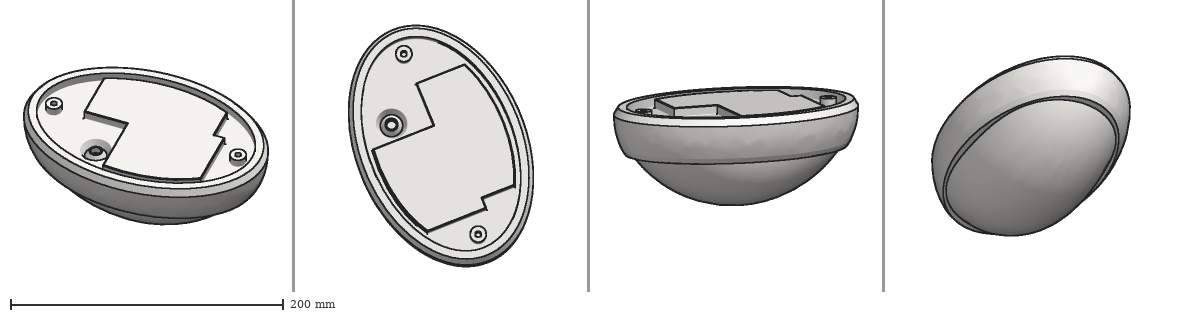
import cadquery as cq

half_length = 93.5
half_width = 62.8
total_height = 76.0

rim_inset = 3.4
widest_depth = 5.5
bulge_depth = 18.0
bulge_inset = 1.3
lower_depth = 30.5
lower_inset = 5.6
base_depth = 34.8
base_inset = 8.5

dome_half_length = 79.7
dome_half_width = 49.4
dome_height = total_height - base_depth

recess_inset = 9.5
recess_depth = 7.5
floor_rounding = 0.5
floor_z = -recess_depth

plate_inset = 14.0
plate_height = 7.0
plate_chamfer = 0.5
plate_left = -49.0
plate_right = 57.2
plate_lower_left = -15.0
plate_left_step_y = 0.0
plate_upper_right = 49.0
plate_right_step_y = 12.9

boss_spacing = 145.9
boss_diameter = 12.0
boss_height = 6.5
boss_hole_diameter = 4.5
boss_hole_depth = 5.6

dish_x = -28.6
dish_y = -27.7
dish_diameter = 23.2
dish_depth = 6.0
nozzle_base_diameter = 16.5
nozzle_top_diameter = 9.3
nozzle_height = 4.7
nozzle_hole_diameter = 7.5
nozzle_hole_depth = 5.6


def oval_section(depth, inset):
    """Elliptical wire at a depth below the rim."""
    plane = cq.Workplane("XY", origin=(0, 0, -depth))
    return plane.ellipse(half_length - inset, half_width - inset).wires().val()


def oval_loft(sections, ruled):
    wires = [oval_section(depth, inset) for depth, inset in sections]
    return cq.Workplane(cq.Solid.makeLoft(wires, ruled))


def oval_prism(inset, bottom_z, height):
    plane = cq.Workplane("XY", origin=(0, 0, bottom_z))
    return plane.ellipse(half_length - inset, half_width - inset).extrude(height)


def round_taper(x, y, bottom_z, height, bottom_diameter, top_diameter):
    cone = cq.Solid.makeCone(bottom_diameter / 2, top_diameter / 2, height, cq.Vector(x, y, bottom_z))
    return cq.Workplane(cone)


def round_pin(x, y, top_z, depth, diameter):
    """Cylinder hanging down from its top, used for bosses and for cutting holes."""
    return cq.Workplane("XY", origin=(x, y, top_z)).circle(diameter / 2).extrude(-depth)


def make_housing():
    rim = oval_loft([(0, rim_inset), (widest_depth, 0)], True)
    wall = oval_loft([(widest_depth, 0), (bulge_depth, bulge_inset), (lower_depth, lower_inset)], False)
    base = oval_loft([(lower_depth, lower_inset), (base_depth, base_inset)], True)
    return rim.union(wall).union(base)


def make_dome():
    """Short profile arc revolved about a Y-parallel axis, so the long profile is an arc too."""
    long_radius = (dome_half_length**2 + dome_height**2) / (2 * dome_height)
    axis_z = long_radius - total_height
    disc = (
        cq.Workplane("YZ")
        .moveTo(-dome_half_width, axis_z)
        .lineTo(-dome_half_width, -base_depth)
        .threePointArc((0, -total_height), (dome_half_width, -base_depth))
        .lineTo(dome_half_width, axis_z)
        .close()
        .revolve(360, (0, axis_z), (1, axis_z))
    )
    below_housing = cq.Workplane("XY", origin=(0, 0, -base_depth))
    below_housing = below_housing.rect(2 * half_length, 2 * half_width).extrude(-dome_height)
    return disc.intersect(below_housing)


def make_plate():
    outline = [
        (plate_left, half_width),
        (plate_upper_right, half_width),
        (plate_upper_right, plate_right_step_y),
        (plate_right, plate_right_step_y),
        (plate_right, -half_width),
        (plate_lower_left, -half_width),
        (plate_lower_left, plate_left_step_y),
        (plate_left, plate_left_step_y),
    ]
    stepped = cq.Workplane("XY", origin=(0, 0, floor_z)).polyline(outline).close().extrude(plate_height)
    plate = stepped.intersect(oval_prism(plate_inset, floor_z, plate_height))
    return plate.faces(">Z").chamfer(plate_chamfer)


def add_boss(body, x):
    boss = round_pin(x, 0, floor_z + boss_height, boss_height, boss_diameter)
    hole = round_pin(x, 0, floor_z + boss_height, boss_hole_depth, boss_hole_diameter)
    return body.union(boss).cut(hole)


def add_dish(body):
    bottom_z = floor_z - dish_depth
    dish = round_taper(dish_x, dish_y, bottom_z, dish_depth, nozzle_base_diameter, dish_diameter)
    nozzle = round_taper(dish_x, dish_y, bottom_z, nozzle_height, nozzle_base_diameter, nozzle_top_diameter)
    hole = round_pin(dish_x, dish_y, bottom_z + nozzle_height, nozzle_hole_depth, nozzle_hole_diameter)
    return body.cut(dish).union(nozzle).cut(hole)


def round_floor_edges(body):
    """Round every edge lying in the recess floor."""
    band = 0.1
    low = (-half_length, -half_width, floor_z - band)
    high = (half_length, half_width, floor_z + band)
    return body.edges(cq.selectors.BoxSelector(low, high, boundingbox=True)).fillet(floor_rounding)


result = make_housing().union(make_dome())
result = result.cut(oval_prism(recess_inset, floor_z, recess_depth))
result = result.union(make_plate())
for side in (-1, 1):
    result = add_boss(result, side * boss_spacing / 2)
result = add_dish(result)
result = round_floor_edges(result)